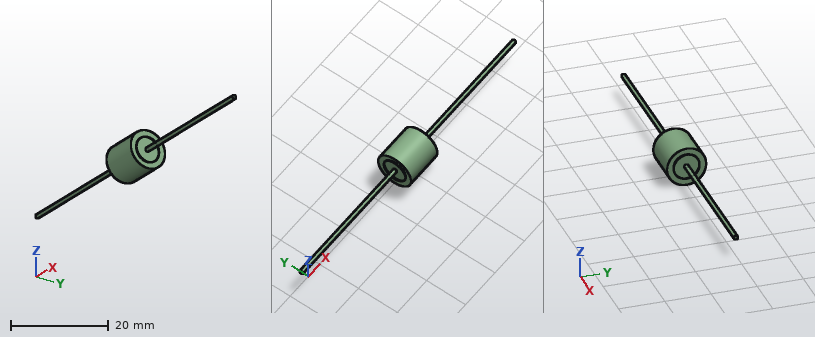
import cadquery as cq

overall_length = 72.5
body_length = 9.0
body_diameter = 8.5
lead_diameter = 0.95
recess_diameter = 5.6
recess_depth = 0.2


def axial_cylinder(diameter, length, start):
    """Solid cylinder along +X, beginning at the given X position."""
    return cq.Workplane("YZ", origin=(start, 0, 0)).circle(diameter / 2).extrude(length)


body = axial_cylinder(body_diameter, body_length, -body_length / 2)

for recess_start in (-body_length / 2, body_length / 2 - recess_depth):
    body = body.cut(axial_cylinder(recess_diameter, recess_depth, recess_start))

lead = axial_cylinder(lead_diameter, overall_length, -overall_length / 2)

result = body.union(lead)